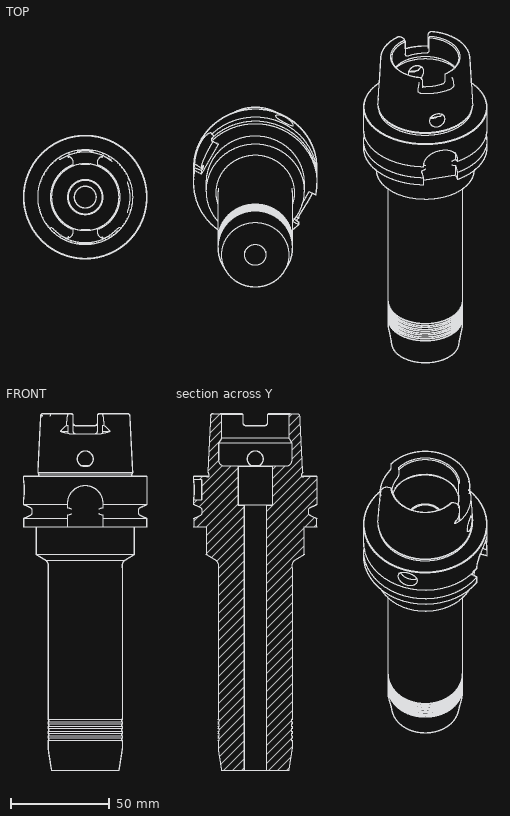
import cadquery as cq
import math


SHANK_TOP = 31.9
NOSE_END = -150.0

CUT_CLEARANCE = 1.0

TAPER_HALF_SLOPE = 0.05
GAUGE_RADIUS = 24.0
GAUGE_HEIGHT = 6.3
RIM_FILLET = 1.3
COLLAR_HEIGHT = 1.9
UNDERCUT_RADIUS = 23.8
UNDERCUT_TOP = 1.0
FACE_RECESS_DEPTH = 0.2
FACE_RECESS_FLOOR_RADIUS = 24.7
FACE_RECESS_RADIUS = 25.4

FLANGE_RADIUS = 31.5
FLANGE_LENGTH = 26.0
FLANGE_CHAMFER = 0.3
V_GROOVE_CENTRE = -18.0
V_GROOVE_HALF_MOUTH = 3.5
V_GROOVE_FLOOR_RADIUS = 27.2
V_GROOVE_HALF_FLOOR = 1.6
V_GROOVE_FILLET = 1.0

NECK_RADIUS = 25.0
NECK_END = -40.0
BODY_RADIUS = 19.0
RELIEF_START = -45.1
RELIEF_END = -47.2
RELIEF_STEP = 0.1
SHOULDER_FILLET_START = -43.0
SHOULDER_FILLET_START_RADIUS = 20.0
SHOULDER_FILLET_MID = -43.9
SHOULDER_FILLET_MID_RADIUS = 19.3
NOSE_TAPER_START = -138.6
NOSE_RADIUS = 17.2

RING_COUNT = 5
RING_START = -123.8
RING_PITCH = 2.4
RING_WIDTH = 1.3
RING_DEPTH = 0.3

MOUTH_RADIUS = 17.7
MOUTH_CHAMFER = 0.6
BORE_RADIUS = MOUTH_RADIUS - MOUTH_CHAMFER
CLAMP_CONE_TOP = 19.3
CLAMP_CONE_ANGLE = 30.0
CLAMP_BORE_RADIUS = 18.5
BORE_FLOOR = 5.2
BORE_FLOOR_FILLET = 2.9
COUNTERBORE_RADIUS = 9.0
COUNTERBORE_CHAMFER = 0.4
COUNTERBORE_DEPTH = 20.0
THROUGH_RADIUS = 5.5

SLOT_WIDTH = 12.4
FRONT_SLOT_DEPTH = 10.4
BACK_SLOT_DEPTH = 6.2
SLOT_FLARE_RADIUS = 3.2
SLOT_FLARE_REACH = 20.9
SLOT_FLOOR_FILLET = 1.5
SLOT_TOP_FILLET = 1.0

NOTCH_TOP = 25.8
NOTCH_TIP_HEIGHT = 22.8
NOTCH_TIP_REACH = 19.4
NOTCH_BOTTOM = 22.0
NOTCH_INNER_X = 8.8
NOTCH_OUTER_X = 14.0

CROSS_HOLE_RADIUS = 4.0
CROSS_HOLE_INNER_END = 16.5
CROSS_HOLE_HEIGHT = 8.8

KEYWAY_RADIUS = 9.0
KEYWAY_FLOOR = 26.3
KEYWAY_CENTRE = -13.8
POCKET_RADIUS = 5.1
POCKET_CENTRE = -7.0
POCKET_DEPTH = 4.2


def taper_radius(height):
    return GAUGE_RADIUS + (GAUGE_HEIGHT - height) * TAPER_HALF_SLOPE


def turned_body():
    """Solid of revolution without its bore."""
    profile = (
        cq.Workplane("XZ")
        .moveTo(0, SHANK_TOP)
        .lineTo(taper_radius(SHANK_TOP), SHANK_TOP)
        .lineTo(taper_radius(COLLAR_HEIGHT), COLLAR_HEIGHT)
        .lineTo(UNDERCUT_RADIUS, UNDERCUT_TOP)
        .lineTo(UNDERCUT_RADIUS, -FACE_RECESS_DEPTH)
        .lineTo(FACE_RECESS_FLOOR_RADIUS, -FACE_RECESS_DEPTH)
        .lineTo(FACE_RECESS_RADIUS, 0)
        .lineTo(FLANGE_RADIUS - FLANGE_CHAMFER, 0)
        .lineTo(FLANGE_RADIUS, -FLANGE_CHAMFER)
        .lineTo(FLANGE_RADIUS, -FLANGE_LENGTH)
        .lineTo(NECK_RADIUS, -FLANGE_LENGTH)
        .lineTo(NECK_RADIUS, NECK_END)
        .lineTo(SHOULDER_FILLET_START_RADIUS, SHOULDER_FILLET_START)
        .threePointArc(
            (SHOULDER_FILLET_MID_RADIUS, SHOULDER_FILLET_MID),
            (BODY_RADIUS - RELIEF_STEP, RELIEF_START),
        )
        .lineTo(BODY_RADIUS, RELIEF_END)
        .lineTo(BODY_RADIUS, NOSE_TAPER_START)
        .lineTo(NOSE_RADIUS, NOSE_END)
        .lineTo(0, NOSE_END)
        .close()
    )
    return profile.revolve(360, (0, 0, 0), (0, 1, 0))


def v_groove():
    """Ring-shaped cutter with rounded floor corners for the flange groove."""
    ring = (
        cq.Workplane("XZ")
        .moveTo(FLANGE_RADIUS, V_GROOVE_CENTRE + V_GROOVE_HALF_MOUTH)
        .lineTo(V_GROOVE_FLOOR_RADIUS, V_GROOVE_CENTRE + V_GROOVE_HALF_FLOOR)
        .lineTo(V_GROOVE_FLOOR_RADIUS, V_GROOVE_CENTRE - V_GROOVE_HALF_FLOOR)
        .lineTo(FLANGE_RADIUS, V_GROOVE_CENTRE - V_GROOVE_HALF_MOUTH)
        .lineTo(FLANGE_RADIUS + CUT_CLEARANCE, V_GROOVE_CENTRE - V_GROOVE_HALF_MOUTH)
        .lineTo(FLANGE_RADIUS + CUT_CLEARANCE, V_GROOVE_CENTRE + V_GROOVE_HALF_MOUTH)
        .close()
        .revolve(360, (0, 0, 0), (0, 1, 0))
    )
    return ring.edges(cq.selectors.RadiusNthSelector(0)).fillet(V_GROOVE_FILLET)


def bore():
    """Bore through the full length, widened behind the mouth by a clamping cone."""
    cone_height = (CLAMP_BORE_RADIUS - BORE_RADIUS) / math.tan(math.radians(CLAMP_CONE_ANGLE))
    fillet_inset = BORE_FLOOR_FILLET * (1 - math.sqrt(0.5))
    counterbore_floor = BORE_FLOOR - COUNTERBORE_DEPTH
    profile = (
        cq.Workplane("XZ")
        .moveTo(0, SHANK_TOP)
        .lineTo(MOUTH_RADIUS, SHANK_TOP)
        .lineTo(BORE_RADIUS, SHANK_TOP - MOUTH_CHAMFER)
        .lineTo(BORE_RADIUS, CLAMP_CONE_TOP)
        .lineTo(CLAMP_BORE_RADIUS, CLAMP_CONE_TOP - cone_height)
        .lineTo(CLAMP_BORE_RADIUS, BORE_FLOOR + BORE_FLOOR_FILLET)
        .threePointArc(
            (CLAMP_BORE_RADIUS - fillet_inset, BORE_FLOOR + fillet_inset),
            (CLAMP_BORE_RADIUS - BORE_FLOOR_FILLET, BORE_FLOOR),
        )
        .lineTo(COUNTERBORE_RADIUS, BORE_FLOOR)
        .lineTo(COUNTERBORE_RADIUS - COUNTERBORE_CHAMFER, BORE_FLOOR - COUNTERBORE_CHAMFER)
        .lineTo(COUNTERBORE_RADIUS - COUNTERBORE_CHAMFER, counterbore_floor)
        .lineTo(THROUGH_RADIUS, counterbore_floor)
        .lineTo(THROUGH_RADIUS, NOSE_END)
        .lineTo(0, NOSE_END)
        .close()
    )
    return profile.revolve(360, (0, 0, 0), (0, 1, 0))


def body_ring(top):
    """Shallow groove around the body, starting at the given height."""
    return (
        cq.Workplane("XY")
        .workplane(offset=top - RING_WIDTH)
        .circle(FLANGE_RADIUS)
        .circle(BODY_RADIUS - RING_DEPTH)
        .extrude(RING_WIDTH)
    )


def drive_slot(depth):
    """Rim slot on the -Y side whose walls round off towards the outside."""
    half_width = SLOT_WIDTH / 2
    flare_centre_x = half_width + SLOT_FLARE_RADIUS
    flare_start = SLOT_FLARE_REACH - SLOT_FLARE_RADIUS
    arc_inset = SLOT_FLARE_RADIUS * math.sqrt(0.5)
    arc_mid_x = flare_centre_x - arc_inset
    arc_mid_y = -flare_start - arc_inset
    outside = -FLANGE_RADIUS
    wide = NECK_RADIUS
    cutter = (
        cq.Workplane("XY")
        .workplane(offset=SHANK_TOP - depth)
        .moveTo(half_width, 0)
        .lineTo(half_width, -flare_start)
        .threePointArc((arc_mid_x, arc_mid_y), (flare_centre_x, -SLOT_FLARE_REACH))
        .lineTo(wide, -SLOT_FLARE_REACH)
        .lineTo(wide, outside)
        .lineTo(-wide, outside)
        .lineTo(-wide, -SLOT_FLARE_REACH)
        .lineTo(-flare_centre_x, -SLOT_FLARE_REACH)
        .threePointArc((-arc_mid_x, arc_mid_y), (-half_width, -flare_start))
        .lineTo(-half_width, 0)
        .close()
        .extrude(depth)
    )
    cutter = cutter.faces("<Z").edges().fillet(SLOT_FLOOR_FILLET)
    plate = (
        cq.Workplane("XY")
        .workplane(offset=SHANK_TOP)
        .moveTo(0, outside / 2)
        .rect(2 * wide, -outside)
        .extrude(CUT_CLEARANCE)
    )
    wall_tops = cq.selectors.BoxSelector(
        (-flare_centre_x, -flare_start, SHANK_TOP - CUT_CLEARANCE / 2),
        (flare_centre_x, 0, SHANK_TOP + CUT_CLEARANCE / 2),
    )
    return cutter.union(plate).edges(wall_tops).fillet(SLOT_TOP_FILLET)


def slot_notch():
    """Slanted notch cutting the shank beside the -Y drive slot on the +X side."""
    return (
        cq.Workplane("YZ", origin=(NOTCH_INNER_X, 0, 0))
        .moveTo(-SLOT_FLARE_REACH, NOTCH_TOP)
        .lineTo(-NOTCH_TIP_REACH, NOTCH_TIP_HEIGHT)
        .lineTo(-SLOT_FLARE_REACH, NOTCH_BOTTOM)
        .lineTo(-NECK_RADIUS, NOTCH_BOTTOM)
        .lineTo(-NECK_RADIUS, NOTCH_TOP)
        .close()
        .extrude(NOTCH_OUTER_X - NOTCH_INNER_X)
    )


def keyway():
    """Round-topped keyway on the -Y side, open at the underside of the flange."""
    keyway_bottom = -FLANGE_LENGTH - CUT_CLEARANCE
    return (
        cq.Workplane("XZ", origin=(0, -KEYWAY_FLOOR, 0))
        .moveTo(-KEYWAY_RADIUS, keyway_bottom)
        .lineTo(-KEYWAY_RADIUS, KEYWAY_CENTRE)
        .threePointArc((0, KEYWAY_CENTRE + KEYWAY_RADIUS), (KEYWAY_RADIUS, KEYWAY_CENTRE))
        .lineTo(KEYWAY_RADIUS, keyway_bottom)
        .close()
        .extrude(FLANGE_RADIUS + CUT_CLEARANCE - KEYWAY_FLOOR)
    )


def cross_hole():
    """Hole through the shank wall on the -Y side."""
    return (
        cq.Workplane("XZ", origin=(0, -CROSS_HOLE_INNER_END, 0))
        .center(0, CROSS_HOLE_HEIGHT)
        .circle(CROSS_HOLE_RADIUS)
        .extrude(FLANGE_RADIUS - CROSS_HOLE_INNER_END)
    )


def chip_pocket():
    """Blind round pocket in the -X side of the flange."""
    return (
        cq.Workplane("YZ", origin=(-FLANGE_RADIUS - CUT_CLEARANCE, 0, 0))
        .center(0, POCKET_CENTRE)
        .circle(POCKET_RADIUS)
        .extrude(POCKET_DEPTH + CUT_CLEARANCE)
    )


def turn_to_back(shape):
    return shape.rotate((0, 0, 0), (0, 0, 1), 180)


holder = turned_body().faces(">Z").edges().fillet(RIM_FILLET)
holder = holder.cut(keyway()).cut(turn_to_back(keyway()))
holder = holder.cut(v_groove())
holder = holder.cut(chip_pocket())

holder = holder.cut(drive_slot(FRONT_SLOT_DEPTH))
holder = holder.cut(turn_to_back(drive_slot(BACK_SLOT_DEPTH)))
notch = slot_notch()
holder = holder.cut(notch).cut(notch.mirror("YZ"))

for ring in range(RING_COUNT):
    holder = holder.cut(body_ring(RING_START - ring * RING_PITCH))
holder = holder.cut(bore())
result = holder.cut(cross_hole()).cut(turn_to_back(cross_hole()))